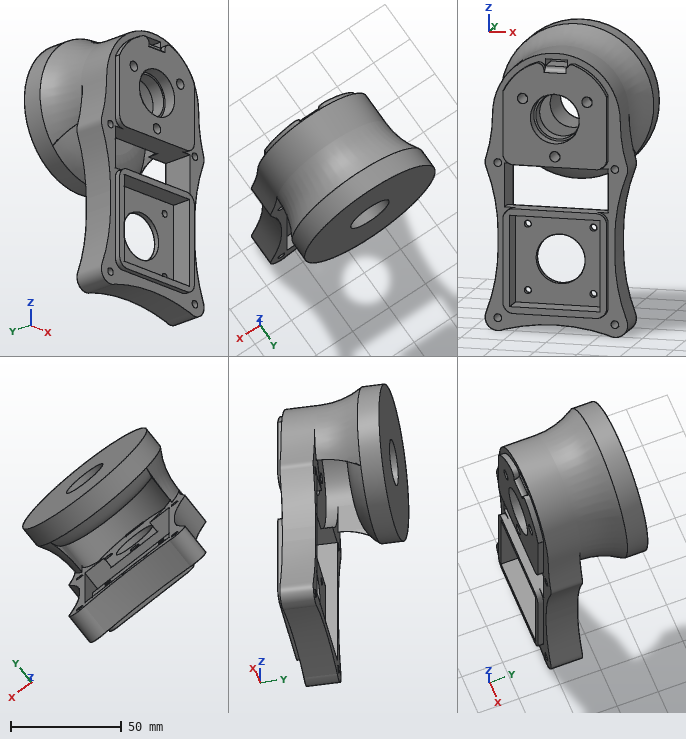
import cadquery as cq
import math

PAD_HEIGHT = 2.7
PLATE_DEPTH = 15.4
FLARE_START = 16.2
BACK = 46.3
RIM_FRONT = BACK - 10.0
DOME_TOP = BACK - 18.0
HUB_FLOOR_BACK = 10.0
POCKET_FLOOR = 7.4
MOTOR_FLOOR_BACK = 10.0

RIM_RADIUS = 72.0 / 2
HUB_RADIUS = 30.0
CAVITY_RADIUS = 52.0 / 2
DOME_FLAT_RADIUS = 42.0 / 2
BORE_DIAMETER = 21.0
SEAT_DIAMETER = 23.0
SEAT_DEPTH = 6.0
PIN_HOLE_DIAMETER = 4.8
PIN_CIRCLE_RADIUS = 17.5
PIN_ANGLES = (30, 150, 270)
MOUTH_BEND_Z = -15.0
MOUTH_LOW_CORNER = (29.6, -31.4)
MOUTH_END = -41.0

TOTAL_HEIGHT = 136.5
EAR_RADIUS = 6.0
EAR_X = 55.0 / 2
EAR_TOP_Z = -22.4
EAR_BOTTOM_Z = RIM_RADIUS - TOTAL_HEIGHT + EAR_RADIUS
EAR_HOLE_DIAMETER = 3.5
WAIST_HALF_WIDTH = 27.5
WAIST_HALF_LENGTH = 3.5
BOTTOM_ARCH_Z = -96.4

PAD_WIDTH = 48.7
PAD_CORNER = 4.9
UPPER_PAD_RADIUS = 27.0
UPPER_PAD_BOTTOM = -22.4
MOTOR_Z = -67.2
WINDOW_BOTTOM = MOTOR_Z + PAD_WIDTH / 2
POCKET_WIDTH = 42.5
MOTOR_HOLE_DIAMETER = 23.0
MOTOR_SCREW_DIAMETER = 3.1
MOTOR_SCREW_PITCH = 30.8
CROSSBAR_ROUND = 4.9

SLOT_WIDTH = 10.4
SLOT_FLOOR = 24.0
SLOT_CEILING = 27.2
SHOULDER_BOTTOM = 21.4
SHOULDER_DEPTH = 2.6
SHOULDER_RADIUS = 2.7
NOTCH_ROUND = 2.9


def front_plane(y):
    """Sketch plane at depth y with local axes X and Z; positive extrusion goes toward -Y."""
    return cq.Workplane("XZ", origin=(0, y, 0))


def between(sketch_builder, y_front, y_back):
    """Extrude the outline drawn by sketch_builder from y_front back to y_back."""
    return sketch_builder(front_plane(y_back)).extrude(y_back - y_front)


def holes(centers, diameter, y_front, y_back):
    return between(lambda plane: plane.pushPoints(centers).circle(diameter / 2), y_front, y_back)


def box(width, z_low, z_high, y_front, y_back):
    return cq.Workplane("XY").box(width, y_back - y_front, z_high - z_low).translate(
        (0, (y_front + y_back) / 2, (z_low + z_high) / 2)
    )


def toward(start, end, distance):
    """Point at a distance from start on the line to end."""
    share = distance / math.dist(start, end)
    return (start[0] + share * (end[0] - start[0]), start[1] + share * (end[1] - start[1]))


def tangent_radius(along, across, ear_radius):
    """Radius of the concave arc that leaves a straight tangent and touches an ear circle.

    The ear centre lies `along` down the tangent and `across` inside it.
    """
    return (along**2 + across**2 - ear_radius**2) / (2 * (ear_radius - across))


def plate_outline(plane):
    top_ear = (EAR_X, EAR_TOP_Z)
    bottom_ear = (EAR_X, EAR_BOTTOM_Z)
    waist_z = (EAR_TOP_Z + EAR_BOTTOM_Z) / 2
    waist_top = waist_z + WAIST_HALF_LENGTH
    waist_bottom = waist_z - WAIST_HALF_LENGTH

    shoulder_radius = tangent_radius(EAR_TOP_Z, HUB_RADIUS - EAR_X, EAR_RADIUS)
    side_radius = tangent_radius(EAR_TOP_Z - waist_top, WAIST_HALF_WIDTH - EAR_X, EAR_RADIUS)
    arch_radius = tangent_radius(EAR_X, BOTTOM_ARCH_Z - EAR_BOTTOM_Z, EAR_RADIUS)
    side_x = WAIST_HALF_WIDTH + side_radius

    shoulder_end = toward(top_ear, (HUB_RADIUS + shoulder_radius, 0), EAR_RADIUS)
    side_start = toward(top_ear, (side_x, waist_top), EAR_RADIUS)
    side_end = toward(bottom_ear, (side_x, waist_bottom), EAR_RADIUS)
    arch_end = toward(bottom_ear, (0, BOTTOM_ARCH_Z - arch_radius), EAR_RADIUS)
    ear_corner = toward(bottom_ear, (EAR_X + EAR_RADIUS, EAR_BOTTOM_Z - EAR_RADIUS), EAR_RADIUS)

    def mirrored(point):
        return (-point[0], point[1])

    return (
        plane.moveTo(-HUB_RADIUS, 0)
        .threePointArc((0, HUB_RADIUS), (HUB_RADIUS, 0))
        .radiusArc(shoulder_end, -shoulder_radius)
        .threePointArc((EAR_X + EAR_RADIUS, EAR_TOP_Z), side_start)
        .radiusArc((WAIST_HALF_WIDTH, waist_top), -side_radius)
        .lineTo(WAIST_HALF_WIDTH, waist_bottom)
        .radiusArc(side_end, -side_radius)
        .threePointArc(ear_corner, arch_end)
        .threePointArc((0, BOTTOM_ARCH_Z), mirrored(arch_end))
        .threePointArc(mirrored(ear_corner), mirrored(side_end))
        .radiusArc((-WAIST_HALF_WIDTH, waist_bottom), -side_radius)
        .lineTo(-WAIST_HALF_WIDTH, waist_top)
        .radiusArc(mirrored(side_start), -side_radius)
        .threePointArc((-EAR_X - EAR_RADIUS, EAR_TOP_Z), mirrored(shoulder_end))
        .radiusArc((-HUB_RADIUS, 0), -shoulder_radius)
        .close()
    )


def hub():
    """Cylinder that flares out along an arc to a wide rim at the back."""
    rise = RIM_RADIUS - HUB_RADIUS
    run = RIM_FRONT - FLARE_START
    flare_radius = (run**2 + rise**2) / (2 * rise)
    profile = (
        cq.Workplane("XY")
        .lineTo(HUB_RADIUS, 0)
        .lineTo(HUB_RADIUS, FLARE_START)
        .radiusArc((RIM_RADIUS, RIM_FRONT), flare_radius)
        .lineTo(RIM_RADIUS, BACK)
        .lineTo(0, BACK)
        .close()
    )
    return profile.revolve(360, (0, 0, 0), (0, 1, 0))


def dome():
    """Flat-topped dome that closes the rim inside the flare."""
    rise = RIM_FRONT - DOME_TOP
    run = RIM_RADIUS - DOME_FLAT_RADIUS
    edge_radius = (run**2 + rise**2) / (2 * rise)
    profile = (
        cq.Workplane("XY")
        .moveTo(0, DOME_TOP)
        .lineTo(DOME_FLAT_RADIUS, DOME_TOP)
        .radiusArc((RIM_RADIUS, RIM_FRONT), -edge_radius)
        .lineTo(0, RIM_FRONT)
        .close()
    )
    return profile.revolve(360, (0, 0, 0), (0, 1, 0))


def hub_cavity():
    """Round cavity in front of the dome, open at the bottom behind the plate."""
    low_x, low_z = MOUTH_LOW_CORNER

    def mouth(plane):
        right_side = [(CAVITY_RADIUS, 0), (CAVITY_RADIUS, MOUTH_BEND_Z), (low_x, low_z), (low_x, MOUTH_END)]
        left_side = [(-x, z) for x, z in reversed(right_side)]
        return plane.polyline(right_side + left_side).close()

    chamber = holes([(0, 0)], 2 * CAVITY_RADIUS, HUB_FLOOR_BACK, RIM_FRONT)
    return chamber.union(between(mouth, PLATE_DEPTH, RIM_FRONT)).cut(dome())


def upper_pad():
    """Round-topped pad with rounded bottom corners and a rounded notch at the top."""
    base = box(PAD_WIDTH, UPPER_PAD_BOTTOM, 0, -PAD_HEIGHT, 0).edges("|Y and <Z").fillet(PAD_CORNER)
    disc = holes([(0, 0)], 2 * UPPER_PAD_RADIUS, -PAD_HEIGHT, 0)
    top = disc.intersect(box(PAD_WIDTH, 0, UPPER_PAD_RADIUS, -PAD_HEIGHT, 0))
    top = top.cut(box(SLOT_WIDTH, SHOULDER_BOTTOM, UPPER_PAD_RADIUS, -PAD_HEIGHT, 0))
    tips = cq.selectors.BoxSelector(
        (-SLOT_WIDTH, -PAD_HEIGHT, SLOT_FLOOR), (SLOT_WIDTH, 0, UPPER_PAD_RADIUS)
    )
    top = top.edges("|Y").edges(tips).fillet(NOTCH_ROUND)
    shoulder = box(SLOT_WIDTH, SHOULDER_BOTTOM, SLOT_FLOOR, -PAD_HEIGHT, 0)
    return base.union(top).union(shoulder)


def motor_pad():
    pad = box(PAD_WIDTH, MOTOR_Z - PAD_WIDTH / 2, WINDOW_BOTTOM, -PAD_HEIGHT, 0)
    return pad.edges("|Y").fillet(PAD_CORNER)


def cable_slot():
    """Slot from the pad notch into the hub cavity, over a rounded shoulder."""
    profile = (
        cq.Workplane("YZ", origin=(-SLOT_WIDTH / 2, 0, 0))
        .moveTo(-PAD_HEIGHT, SHOULDER_BOTTOM)
        .radiusArc((SHOULDER_DEPTH - PAD_HEIGHT, SLOT_FLOOR), -SHOULDER_RADIUS)
        .lineTo(HUB_FLOOR_BACK, SLOT_FLOOR)
        .lineTo(HUB_FLOOR_BACK, SLOT_CEILING)
        .lineTo(-PAD_HEIGHT, SLOT_CEILING)
        .close()
    )
    return profile.extrude(SLOT_WIDTH)


def motor_recess():
    """Recess behind the motor floor, leaving a crossbar with a rounded rear edge."""
    bottom = MOTOR_Z - PAD_WIDTH / 2
    recess = box(PAD_WIDTH, bottom, WINDOW_BOTTOM, MOTOR_FLOOR_BACK, PLATE_DEPTH)
    round_start = MOTOR_FLOOR_BACK - CROSSBAR_ROUND
    corner = box(PAD_WIDTH, WINDOW_BOTTOM - CROSSBAR_ROUND, WINDOW_BOTTOM, round_start, MOTOR_FLOOR_BACK)
    roll = (
        cq.Workplane("YZ", origin=(-PAD_WIDTH / 2, round_start, WINDOW_BOTTOM - CROSSBAR_ROUND))
        .circle(CROSSBAR_ROUND)
        .extrude(PAD_WIDTH)
    )
    return recess.union(corner.cut(roll))


body = between(plate_outline, 0, PLATE_DEPTH).union(hub())
body = body.cut(box(PAD_WIDTH, WINDOW_BOTTOM, UPPER_PAD_BOTTOM, 0, PLATE_DEPTH))
body = body.cut(hub_cavity())
body = body.union(upper_pad()).union(motor_pad())

pin_centers = [
    (PIN_CIRCLE_RADIUS * math.cos(math.radians(a)), PIN_CIRCLE_RADIUS * math.sin(math.radians(a)))
    for a in PIN_ANGLES
]
body = body.cut(cable_slot())
body = body.cut(holes([(0, 0)], BORE_DIAMETER, -PAD_HEIGHT, BACK))
body = body.cut(holes([(0, 0)], SEAT_DIAMETER, -PAD_HEIGHT, SEAT_DEPTH - PAD_HEIGHT))
body = body.cut(holes(pin_centers, PIN_HOLE_DIAMETER, -PAD_HEIGHT, HUB_FLOOR_BACK))

pocket_half = POCKET_WIDTH / 2
screw = MOTOR_SCREW_PITCH / 2
screw_centers = [(x, MOTOR_Z + z) for x in (-screw, screw) for z in (-screw, screw)]
body = body.cut(motor_recess())
body = body.cut(box(POCKET_WIDTH, MOTOR_Z - pocket_half, MOTOR_Z + pocket_half, -PAD_HEIGHT, POCKET_FLOOR))
body = body.cut(holes([(0, MOTOR_Z)], MOTOR_HOLE_DIAMETER, 0, PLATE_DEPTH))
body = body.cut(holes(screw_centers, MOTOR_SCREW_DIAMETER, 0, PLATE_DEPTH))

ear_centers = [(x, z) for x in (-EAR_X, EAR_X) for z in (EAR_TOP_Z, EAR_BOTTOM_Z)]
result = body.cut(holes(ear_centers, EAR_HOLE_DIAMETER, -PAD_HEIGHT, PLATE_DEPTH))